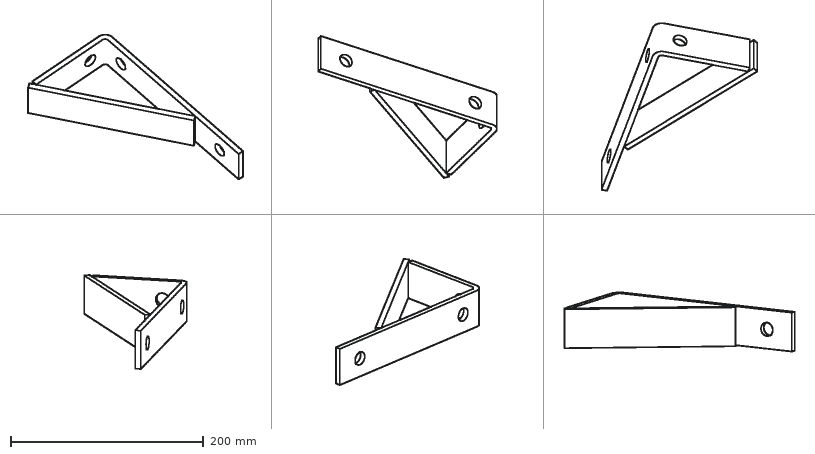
import cadquery as cq
import math

strip_thickness = 6.0
strip_width = 41.2
long_leg = 215.9
short_leg = 102.1
bend_outer_radius = 10.0
bend_inner_radius = bend_outer_radius - strip_thickness

hole_diameter = 14.2
long_leg_end_inset = 30.2
long_leg_bend_inset = 30.2
short_leg_hole_inset = 27.0
hole_height = strip_width / 2

brace_contact_x = 147.5


def make_strap():
    """Bent strap: long leg along X, short leg along -Y, with three bolt holes."""
    strap = (
        cq.Workplane("XY")
        .moveTo(0, -short_leg)
        .lineTo(0, -bend_outer_radius)
        .radiusArc((bend_outer_radius, 0), bend_outer_radius)
        .lineTo(long_leg, 0)
        .lineTo(long_leg, -strip_thickness)
        .lineTo(bend_outer_radius, -strip_thickness)
        .radiusArc((strip_thickness, -bend_outer_radius), -bend_inner_radius)
        .lineTo(strip_thickness, -short_leg)
        .close()
        .extrude(strip_width)
    )

    hole_radius = hole_diameter / 2
    for hole_x in (long_leg_bend_inset, long_leg - long_leg_end_inset):
        hole_start = cq.Vector(hole_x, 0, hole_height)
        strap = strap.cut(
            cq.Solid.makeCylinder(hole_radius, strip_thickness, hole_start, cq.Vector(0, -1, 0))
        )
    hole_start = cq.Vector(0, -short_leg_hole_inset, hole_height)
    return strap.cut(
        cq.Solid.makeCylinder(hole_radius, strip_thickness, hole_start, cq.Vector(1, 0, 0))
    )


def make_brace():
    """Flat diagonal bar resting on the long leg and on the inner end edge of the short leg."""
    rise = short_leg - strip_thickness
    run = brace_contact_x - strip_thickness
    angle = math.atan2(rise, run)
    length = brace_contact_x / math.cos(angle)
    return (
        cq.Workplane("XY")
        .rect(length, strip_thickness)
        .extrude(strip_width)
        .translate((-length / 2, -strip_thickness / 2, 0))
        .rotate((0, 0, 0), (0, 0, 1), math.degrees(angle))
        .translate((brace_contact_x, -strip_thickness, 0))
    )


strap = make_strap()
brace = make_brace()

result = cq.Compound.makeCompound([strap.val(), brace.val()])